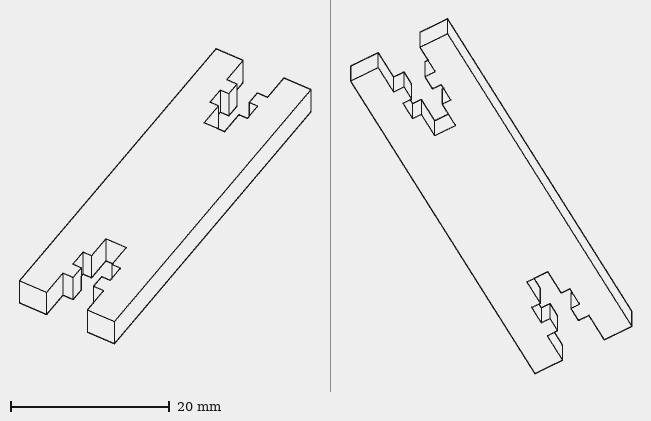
import cadquery as cq

width = 14.0
length = 48.0
thickness = 4.0

mouth_width = 6.0
mouth_depth = 4.0
screw_width = 3.0
screw_depth = 12.0
nut_width = 5.5
nut_height = 2.5
nut_start = 6.0


def slot_section(section_width, start, section_length):
    """Through-cut centred on X, spanning a depth range from the +Y end."""
    return (
        cq.Workplane("XY")
        .center(0, length / 2 - start - section_length / 2)
        .rect(section_width, section_length)
        .extrude(thickness)
    )


def joint_slot():
    """Mouth, screw channel and captive-nut pocket at the +Y end."""
    mouth = slot_section(mouth_width, 0, mouth_depth)
    screw_channel = slot_section(screw_width, 0, screw_depth)
    nut_pocket = slot_section(nut_width, nut_start, nut_height)
    return mouth.union(screw_channel).union(nut_pocket)


plate = cq.Workplane("XY").rect(width, length).extrude(thickness)

result = plate
for angle in (0, 180):
    result = result.cut(joint_slot().rotate((0, 0, 0), (0, 0, 1), angle))